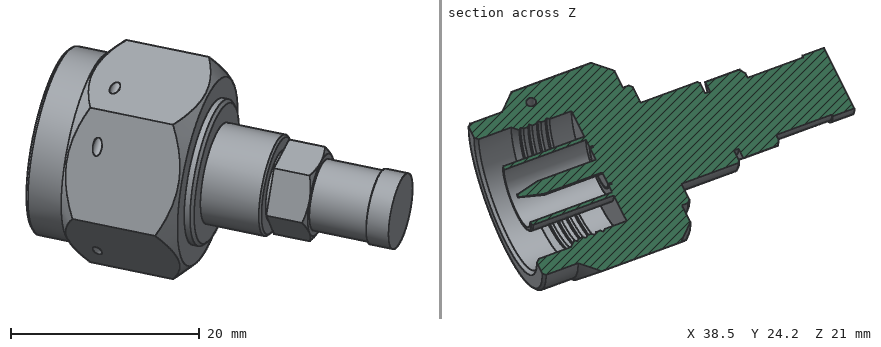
import cadquery as cq
import math

LENGTH = 38.5
COLLAR_END = 4.0
NUT_END = 17.0
FLANGE_END = 18.0
BARREL_END = 24.72
NECK_END = 25.22
SMALL_HEX_END = 29.6
SLEEVE_END = 36.0

NUT_ACROSS_FLATS = 21.0
COLLAR_RADIUS = 10.25
COLLAR_CHAMFER = 0.3

FLANGE_RADIUS = 7.97
FLANGE_CHAMFER = 0.35
BARREL_RADIUS = 5.5
BARREL_CHAMFER = 0.25
SLEEVE_RADIUS = 3.9
RIM_RADIUS = 4.12
SMALL_HEX_ACROSS_FLATS = 8.95
SMALL_HEX_END_RADIUS = SMALL_HEX_ACROSS_FLATS / 2
SMALL_HEX_BEVEL_ANGLE = 30

WIRE_HOLE_DIAMETER = 1.0
WIRE_HOLE_X = 7.3
WIRE_HOLE_OFFSET = 10.13
WIRE_HOLE_ANGLES = (0, 120, 240)

SOCKET_RADIUS = 8.05
SOCKET_CHAMFER = 0.4
SOCKET_DEPTH = 4.12
SOCKET_FLOOR = 10.8
THREAD_RADIUS = 7.4
THREAD_PITCH = 1.0
GROOVE_WIDTH = THREAD_PITCH / 2
GROOVE_DEPTH = GROOVE_WIDTH / 2
GROOVE_COUNT = 4

TUBE_FRONT = 1.35
TUBE_RADIUS = 4.0
TUBE_CHAMFER = 0.15
TUBE_BORE_RADIUS = 3.5
INSULATOR_RADIUS = 2.43
INSULATOR_GAP = 0.1
INSULATOR_GAP_DEPTH = 0.4
PIN_FRONT = 1.42
PIN_RADIUS = 0.9
PIN_TIP_RADIUS = 0.2
PIN_TAPER = 2.7


def turned(profile):
    """Revolve a closed (x, radius) profile about the X axis."""
    return cq.Workplane("XY").polyline(profile).close().revolve(360, (0, 0, 0), (1, 0, 0))


def cylinder(start, end, radius):
    """Solid cylinder along X between two positions."""
    return cq.Workplane("YZ", origin=(start, 0, 0)).circle(radius).extrude(end - start)


def hex_bar(start, end, across_flats):
    """Hexagonal bar along X with two flats facing +Z and -Z."""
    across_corners = across_flats / math.cos(math.radians(30))
    return cq.Workplane("YZ", origin=(start, 0, 0)).polygon(6, across_corners).extrude(end - start)


def nut_outside():
    collar = cylinder(0, COLLAR_END, COLLAR_RADIUS).faces("<X").chamfer(COLLAR_CHAMFER)
    corner_radius = NUT_ACROSS_FLATS / math.sqrt(3)
    bevel = corner_radius - COLLAR_RADIUS
    envelope = turned([
        (COLLAR_END, 0),
        (COLLAR_END, COLLAR_RADIUS),
        (COLLAR_END + bevel, corner_radius),
        (NUT_END - bevel, corner_radius),
        (NUT_END, COLLAR_RADIUS),
        (NUT_END, 0),
    ])
    return collar.union(hex_bar(COLLAR_END, NUT_END, NUT_ACROSS_FLATS).intersect(envelope))


def wire_hole(angle):
    """Hole crossing the nut corner that lies at the given angle from +Y."""
    hole = (
        cq.Workplane("XY")
        .center(WIRE_HOLE_X, WIRE_HOLE_OFFSET)
        .circle(WIRE_HOLE_DIAMETER / 2)
        .extrude(NUT_ACROSS_FLATS / 2, both=True)
    )
    return hole.rotate((0, 0, 0), (1, 0, 0), angle)


def socket():
    """Cavity with ring grooves standing in for the thread."""
    thread_start = SOCKET_DEPTH + SOCKET_RADIUS - THREAD_RADIUS
    cavity = turned([
        (0, 0),
        (0, SOCKET_RADIUS + SOCKET_CHAMFER),
        (SOCKET_CHAMFER, SOCKET_RADIUS),
        (SOCKET_DEPTH, SOCKET_RADIUS),
        (thread_start, THREAD_RADIUS),
        (SOCKET_FLOOR, THREAD_RADIUS),
        (SOCKET_FLOOR, 0),
    ])
    for index in range(GROOVE_COUNT):
        start = thread_start + index * THREAD_PITCH
        groove = turned([
            (start, 0),
            (start, THREAD_RADIUS),
            (start + GROOVE_WIDTH / 2, THREAD_RADIUS + GROOVE_DEPTH),
            (start + GROOVE_WIDTH, THREAD_RADIUS),
            (start + GROOVE_WIDTH, 0),
        ])
        cavity = cavity.union(groove)
    return cavity


def contact_tube():
    tube = cylinder(TUBE_FRONT, SOCKET_FLOOR, TUBE_RADIUS).faces("<X").chamfer(TUBE_CHAMFER)
    return tube.cut(cylinder(TUBE_FRONT, SOCKET_FLOOR, TUBE_BORE_RADIUS))


def insulator_gap():
    """Narrow ring-shaped gap around the insulator face on the socket floor."""
    return (
        cq.Workplane("YZ", origin=(SOCKET_FLOOR, 0, 0))
        .circle(INSULATOR_RADIUS + INSULATOR_GAP)
        .circle(INSULATOR_RADIUS)
        .extrude(INSULATOR_GAP_DEPTH)
    )


def pin():
    return turned([
        (PIN_FRONT, 0),
        (PIN_FRONT, PIN_TIP_RADIUS),
        (PIN_FRONT + PIN_TAPER, PIN_RADIUS),
        (SOCKET_FLOOR, PIN_RADIUS),
        (SOCKET_FLOOR, 0),
    ])


def rear_body():
    flange = cylinder(NUT_END, FLANGE_END, FLANGE_RADIUS).faces(">X").chamfer(FLANGE_CHAMFER)
    barrel = cylinder(FLANGE_END, BARREL_END, BARREL_RADIUS).faces(">X").chamfer(BARREL_CHAMFER)
    sleeve = cylinder(BARREL_END, SLEEVE_END, SLEEVE_RADIUS)
    rim = cylinder(SLEEVE_END, LENGTH, RIM_RADIUS)
    return flange.union(barrel).union(sleeve).union(rim)


def small_hex():
    corner_radius = SMALL_HEX_ACROSS_FLATS / math.sqrt(3)
    bevel = (corner_radius - SMALL_HEX_END_RADIUS) * math.tan(math.radians(SMALL_HEX_BEVEL_ANGLE))
    envelope = turned([
        (NECK_END, 0),
        (NECK_END, corner_radius),
        (SMALL_HEX_END - bevel, corner_radius),
        (SMALL_HEX_END, SMALL_HEX_END_RADIUS),
        (SMALL_HEX_END, 0),
    ])
    return hex_bar(NECK_END, SMALL_HEX_END, SMALL_HEX_ACROSS_FLATS).intersect(envelope)


result = nut_outside()
for hole_angle in WIRE_HOLE_ANGLES:
    result = result.cut(wire_hole(hole_angle))
result = result.union(rear_body()).union(small_hex())
result = result.cut(socket()).cut(insulator_gap()).union(contact_tube()).union(pin())